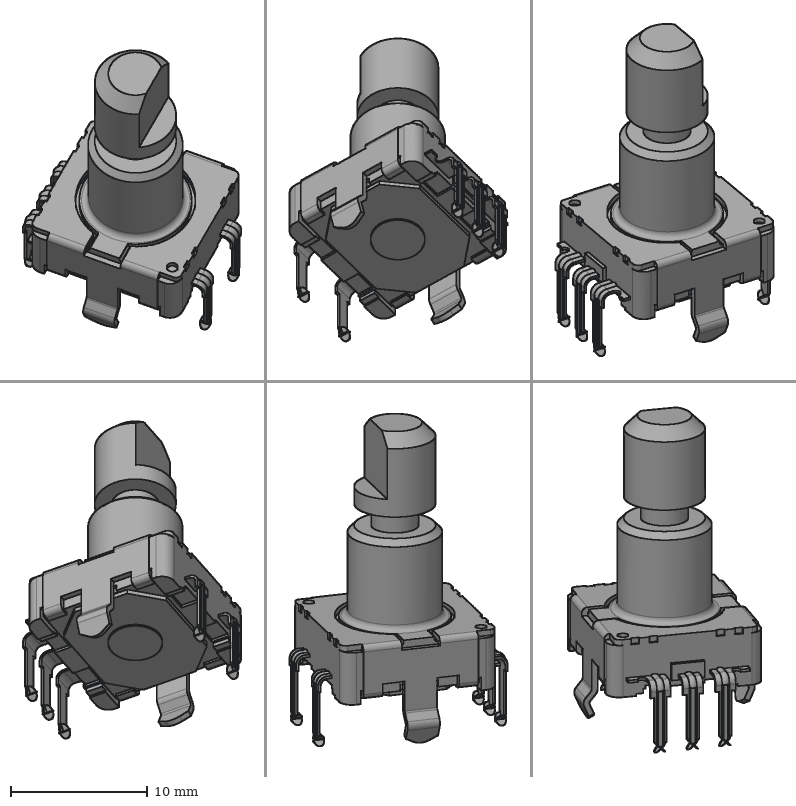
import cadquery as cq
import math

TOTAL_HEIGHT = 23.5

CASE_X = 12.03
CASE_Y = 11.82
CASE_BOTTOM = 4.05
COVER_TOP = 8.55
SHEET = 0.45
CORNER_R = 0.99
PLATE_CORNER_R = 0.47
COVER_Y = CASE_Y - 2 * SHEET
CASE_TOP = COVER_TOP - SHEET

WALL_HALF_X = 4.46
WALL_GAP = 0.02
FOOT_BOTTOM = 4.35
FOOT_INNER_X = 2.95
WALL_NOTCH_TOP = 5.43

LEG_WIDTH = 2.51
LEG_BEND_Z = 2.98
LEG_KNEE_Y = 6.4
LEG_KNEE_Z = 2.15
LEG_TIP_Y = 5.65
LEG_TIP_Z = 0.42
LEG_KNEE_R = 0.4
LEG_BEND_R = 0.45
LEG_TIP_RISE = 0.75
LEG_TIP_R = 1.18

FLOOR_Z = 4.55
POST_INNER_X = 4.68
RAIL_STEP_Y = 3.88
RAIL_STEP_Z = 4.2
RAIL_NOTCH_Y = 3.35
LEAD_POCKET_INNER_Y = 1.36
LEAD_POCKET_OUTER_Y = 3.17
LEAD_POCKET_Z = 4.8
PLINTH_X = 8.65
PLINTH_Y = 10.35
PLINTH_CHAMFER = 2.12
PLINTH_Z = 4.18
PAD_D = 4.0
LEG_RECESS_HALF_X = 1.48
LEG_RECESS_Z = 5.05
LEG_RECESS_DEPTH = 0.24

OPENING_R = 4.42
OPENING_SLOT = 2.95
OPENING_FLOOR = 7.9
FLANGE_R = 4.14
ARM_WIDTH = 2.4
ARM_FLARE_Z = 8.08
FLANGE_TOP = 8.48
BUSHING_D = 6.98
BUSHING_TOP = 15.5
BUSHING_CHAMFER = 0.5
BUSHING_FILLET = 0.5

NECK_D = 3.5
SHAFT_D = 6.0
SHAFT_BOTTOM = 17.18
SHAFT_TIP_D = 4.0
FLAT_X = 1.48
FLAT_BOTTOM = 18.55

DIMPLE_D = 0.82
DIMPLE_X = 5.1
DIMPLE_Y = 4.65
DIMPLE_DEPTH = 0.35
EDGE_NOTCH_YS = (2.55, 3.97)
EDGE_NOTCH_WIDTH = 0.6
EDGE_NOTCH_DEPTH = 0.16

LEAD_PITCH = 2.5
LEFT_REACH = 7.64
RIGHT_REACH = 7.07
LEAD_SHEET = 0.2
LEAD_TOP = 5.55
LEAD_BEND_R = 0.68
LEAD_WIDTH = 1.55
LEAD_SHOULDER_Z = 4.35
LEAD_PIN_WIDTH = 0.95
LEAD_TIP_Z = 0.4
LEAD_EMBED = 0.24
RIDGE_D = 0.8
RIDGE_HEIGHT = 0.12
RIDGE_AXIS_DEPTH = RIDGE_D / 2 - RIDGE_HEIGHT
GROOVE_Y = 0.24
GROOVE_WIDTH = 0.12
GROOVE_DEPTH = 0.059
TIP_DISC_SHEET = 0.05

STUB_REACH = 6.6
STUB_END_Y = 4.65
STUB_NOTCH_Y = 3.62
STUB_NOTCH_R = 0.33
LUG_REACH = 6.32
LUG_WIDTH = 2.51
LUG_TOP = 6.37
LUG_BOTTOM = 5.1


def block(x0, x1, y0, y1, z0, z1):
    """Box between two opposite corners."""
    return cq.Workplane("XY").box(x1 - x0, y1 - y0, z1 - z0, centered=False).translate((x0, y0, z0))


def slab(x, y, z0, z1):
    """Box centred on the Z axis."""
    return block(-x / 2, x / 2, -y / 2, y / 2, z0, z1)


def disc(radius, z0, z1):
    return cq.Workplane("XY").workplane(offset=z0).circle(radius).extrude(z1 - z0)


def both_y(shape):
    """The shape together with its mirror image across the XZ plane."""
    return shape.union(shape.mirror("XZ"))


def both_x(shape):
    """The shape together with its mirror image across the YZ plane."""
    return shape.union(shape.mirror("YZ"))


def case():
    """Moulded case: hollow underside between two rails, with a plinth and a round pad below it."""
    body = slab(CASE_X, CASE_Y, CASE_BOTTOM, CASE_TOP).edges("|Z").fillet(CORNER_R)

    wall_room_x = WALL_HALF_X + WALL_GAP
    wall_room = block(-wall_room_x, wall_room_x, COVER_Y / 2, CASE_Y / 2, CASE_BOTTOM, CASE_TOP)
    foot_room = block(-POST_INNER_X, POST_INNER_X, COVER_Y / 2, CASE_Y / 2, CASE_BOTTOM, LEG_RECESS_Z)
    leg_recess = block(
        -LEG_RECESS_HALF_X, LEG_RECESS_HALF_X,
        COVER_Y / 2 - LEG_RECESS_DEPTH, COVER_Y / 2, CASE_BOTTOM, LEG_RECESS_Z,
    )
    body = body.cut(both_y(wall_room.union(foot_room).union(leg_recess)))

    body = body.cut(slab(2 * POST_INNER_X, CASE_Y, CASE_BOTTOM, FLOOR_Z))
    body = body.cut(slab(CASE_X, 2 * RAIL_STEP_Y, CASE_BOTTOM, RAIL_STEP_Z))
    body = body.cut(slab(CASE_X, 2 * RAIL_NOTCH_Y, CASE_BOTTOM, FLOOR_Z))
    lead_pocket = block(
        POST_INNER_X, CASE_X / 2, LEAD_POCKET_INNER_Y, LEAD_POCKET_OUTER_Y, FLOOR_Z, LEAD_POCKET_Z
    )
    body = body.cut(both_x(both_y(lead_pocket)))
    plinth = slab(PLINTH_X, PLINTH_Y, PLINTH_Z, FLOOR_Z).edges("|Z").chamfer(PLINTH_CHAMFER)
    return body.union(plinth).union(disc(PAD_D / 2, CASE_BOTTOM, FLOOR_Z))


def cover_wall():
    """Wall on the +Y side: folded down from the top plate, with two feet folded under the case."""
    wall = block(
        -WALL_HALF_X, WALL_HALF_X, COVER_Y / 2 - SHEET, CASE_Y / 2, FOOT_BOTTOM, COVER_TOP
    )
    rounded = wall.edges(">Y and |X").fillet(SHEET)
    inner = block(
        -WALL_HALF_X, WALL_HALF_X, COVER_Y / 2 - SHEET, COVER_Y / 2, FLOOR_Z, CASE_TOP
    )
    gap = block(
        -FOOT_INNER_X, FOOT_INNER_X, COVER_Y / 2 - SHEET, CASE_Y / 2, FOOT_BOTTOM, WALL_NOTCH_TOP
    )
    return rounded.cut(inner).cut(gap)


def leg():
    """Snap-in leg below the +Y wall: bent outward, then back inward to a rounded tip."""
    start = (CASE_Y / 2 - SHEET / 2, WALL_NOTCH_TOP + SHEET)
    path = [
        start,
        (start[0], LEG_BEND_Z),
        (LEG_KNEE_Y, LEG_KNEE_Z),
        (LEG_TIP_Y, LEG_TIP_Z),
    ]
    centre_line = cq.Workplane("YZ").polyline(path).wire()
    strip = (
        cq.Workplane("XY", origin=(0, start[0], start[1]))
        .rect(LEG_WIDTH, SHEET)
        .sweep(centre_line, transition="right")
    )
    bends = [(path[1], -1, LEG_BEND_R), (path[2], 1, LEG_KNEE_R)]
    for (y, z), outer_side, radius in bends:
        for side in (-1, 1):
            edge_point = (0, y + side * SHEET / 2, z)
            edge = cq.selectors.NearestToPointSelector(edge_point)
            edge_r = radius + side * outer_side * SHEET / 2
            strip = strip.edges("|X").edges(edge).fillet(edge_r)

    tip_plane = cq.Plane(
        origin=(0, LEG_TIP_Y, LEG_TIP_Z),
        xDir=(1, 0, 0),
        normal=(0, LEG_TIP_Z - LEG_KNEE_Z, LEG_KNEE_Y - LEG_TIP_Y),
    )
    far = start[1]
    half = LEG_WIDTH / 2
    outline = [
        (-half, far),
        (-half, LEG_TIP_RISE),
        (0, 0),
        (half, LEG_TIP_RISE),
        (half, far),
    ]
    blank = cq.Workplane(tip_plane).polyline(outline).close().extrude(far, both=True)
    point = cq.selectors.NearestToPointSelector((0, LEG_TIP_Y, LEG_TIP_Z))
    return strip.intersect(blank.edges(point).fillet(LEG_TIP_R))


def cover():
    top = slab(CASE_X, COVER_Y, CASE_TOP, COVER_TOP).edges("|Z").fillet(PLATE_CORNER_R)
    opening = disc(OPENING_R, OPENING_FLOOR, COVER_TOP)
    opening = opening.union(slab(OPENING_SLOT, CASE_Y, OPENING_FLOOR, COVER_TOP))
    body = top.union(both_y(cover_wall())).cut(opening)

    dimple = disc(DIMPLE_D / 2, COVER_TOP - DIMPLE_DEPTH, COVER_TOP)
    for side in (-1, 1):
        body = body.cut(dimple.translate((side * DIMPLE_X, -side * DIMPLE_Y, 0)))

    for y in EDGE_NOTCH_YS:
        notch = block(
            CASE_X / 2 - EDGE_NOTCH_DEPTH, CASE_X / 2,
            y - EDGE_NOTCH_WIDTH / 2, y + EDGE_NOTCH_WIDTH / 2, CASE_TOP, COVER_TOP,
        )
        body = body.cut(both_x(both_y(notch)))
    return body


def bushing():
    """Turned bushing with a fillet into its flange, and two flared arms reaching the cover walls."""
    flange = disc(FLANGE_R, OPENING_FLOOR, FLANGE_TOP)
    foot_x = OPENING_SLOT / 2
    top_x = ARM_WIDTH / 2
    flare_r = foot_x - top_x
    arms = (
        cq.Workplane("XZ", origin=(0, COVER_Y / 2, 0))
        .moveTo(-foot_x, OPENING_FLOOR)
        .lineTo(foot_x, OPENING_FLOOR)
        .lineTo(foot_x, ARM_FLARE_Z)
        .radiusArc((top_x, ARM_FLARE_Z + flare_r), flare_r)
        .lineTo(top_x, FLANGE_TOP)
        .lineTo(-top_x, FLANGE_TOP)
        .lineTo(-top_x, ARM_FLARE_Z + flare_r)
        .radiusArc((-foot_x, ARM_FLARE_Z), flare_r)
        .close()
        .extrude(COVER_Y)
    )
    flange = flange.union(arms)
    barrel = disc(BUSHING_D / 2, FLANGE_TOP, BUSHING_TOP).faces(">Z").chamfer(BUSHING_CHAMFER)
    root_r = BUSHING_D / 2 + BUSHING_FILLET
    root = (
        cq.Workplane("XZ")
        .moveTo(0, FLANGE_TOP)
        .lineTo(root_r, FLANGE_TOP)
        .radiusArc((BUSHING_D / 2, FLANGE_TOP + BUSHING_FILLET), BUSHING_FILLET)
        .lineTo(0, FLANGE_TOP + BUSHING_FILLET)
        .close()
        .revolve(360, (0, 0), (0, 1))
    )
    return flange.union(barrel).union(root)


def shaft():
    neck = disc(NECK_D / 2, BUSHING_TOP, SHAFT_BOTTOM)
    head = disc(SHAFT_D / 2, SHAFT_BOTTOM, TOTAL_HEIGHT)
    head = head.faces(">Z").chamfer((SHAFT_D - SHAFT_TIP_D) / 2)
    flat = block(FLAT_X, SHAFT_D / 2, -SHAFT_D / 2, SHAFT_D / 2, FLAT_BOTTOM, TOTAL_HEIGHT)
    return neck.union(head.cut(flat))


def bent_lead(profile, reach):
    """Profile drawn in (Y, Z) carried outward along +X and then through the quarter bend."""
    bend_x = reach - LEAD_BEND_R
    start_x = CASE_X / 2 - LEAD_EMBED
    straight = profile(start_x).extrude(bend_x - start_x)
    axis_start = (0, LEAD_TOP - LEAD_BEND_R)
    axis_end = (1, LEAD_TOP - LEAD_BEND_R)
    bend = profile(bend_x).revolve(90, axis_start, axis_end)
    return straight.union(bend)


def strip_profile(x):
    plane = cq.Workplane("YZ", origin=(x, 0, 0))
    return plane.moveTo(0, LEAD_TOP - LEAD_SHEET / 2).rect(LEAD_WIDTH, LEAD_SHEET)


def ridge_profile(x):
    """Cap of the ridge circle that stands above the strip."""
    half_chord = math.sqrt((RIDGE_D / 2) ** 2 - RIDGE_AXIS_DEPTH ** 2)
    return (
        cq.Workplane("YZ", origin=(x, 0, 0))
        .moveTo(-half_chord, LEAD_TOP)
        .threePointArc((0, LEAD_TOP + RIDGE_HEIGHT), (half_chord, LEAD_TOP))
        .close()
    )


def lead(reach):
    """Lead leaving the +X side: ridged strip, quarter bend, pin and two crossed tip discs."""
    bend_end = LEAD_TOP - LEAD_BEND_R
    half_width = LEAD_WIDTH / 2
    half_pin = LEAD_PIN_WIDTH / 2
    outline = [
        (-half_width, bend_end),
        (-half_width, LEAD_SHOULDER_Z),
        (-half_pin, LEAD_SHOULDER_Z),
        (-half_pin, LEAD_TIP_Z + half_pin),
        (0, LEAD_TIP_Z),
        (half_pin, LEAD_TIP_Z + half_pin),
        (half_pin, LEAD_SHOULDER_Z),
        (half_width, LEAD_SHOULDER_Z),
        (half_width, bend_end),
    ]
    pin = cq.Workplane("YZ", origin=(reach - LEAD_SHEET, 0, 0)).polyline(outline).close()
    pin = pin.extrude(LEAD_SHEET)
    for y in (-GROOVE_Y, GROOVE_Y):
        pin = pin.cut(block(
            reach - GROOVE_DEPTH, reach, y - GROOVE_WIDTH / 2, y + GROOVE_WIDTH / 2, 0, bend_end
        ))

    ridge_x = reach - RIDGE_AXIS_DEPTH
    bar = (
        cq.Workplane("XZ", origin=(ridge_x, RIDGE_D / 2, LEAD_TIP_Z))
        .circle(RIDGE_D / 2)
        .extrude(RIDGE_D)
    )
    sheet = cq.Workplane("XY").box(RIDGE_D, 2 * RIDGE_D, TIP_DISC_SHEET)
    for angle in (-45, 45):
        tilted = sheet.rotate((0, 0, 0), (1, 0, 0), angle).translate((ridge_x, 0, LEAD_TIP_Z))
        pin = pin.union(tilted.intersect(bar))
    return bent_lead(strip_profile, reach).union(bent_lead(ridge_profile, reach)).union(pin)


def left_stub():
    """Lead-frame stub beside the outer lead on the -X, +Y side, with a round notch in its edge."""
    plate = block(
        -STUB_REACH, -CASE_X / 2, LEAD_PITCH, STUB_END_Y, LEAD_TOP - LEAD_SHEET, LEAD_TOP
    )
    notch = disc(STUB_NOTCH_R, LEAD_TOP - LEAD_SHEET, LEAD_TOP)
    return plate.cut(notch.translate((-STUB_REACH, STUB_NOTCH_Y, 0)))


def assemble():
    body = case().union(cover()).union(both_y(leg())).union(bushing()).union(shaft())
    left_lead = lead(LEFT_REACH).mirror("YZ")
    for y in (-LEAD_PITCH, 0, LEAD_PITCH):
        body = body.union(left_lead.translate((0, y, 0)))
    right_lead = lead(RIGHT_REACH)
    for y in (-LEAD_PITCH, LEAD_PITCH):
        body = body.union(right_lead.translate((0, y, 0)))
    lug = block(-LUG_REACH, -CASE_X / 2, -LUG_WIDTH / 2, LUG_WIDTH / 2, LUG_BOTTOM, LUG_TOP)
    return body.union(both_y(left_stub())).union(lug)


result = assemble()